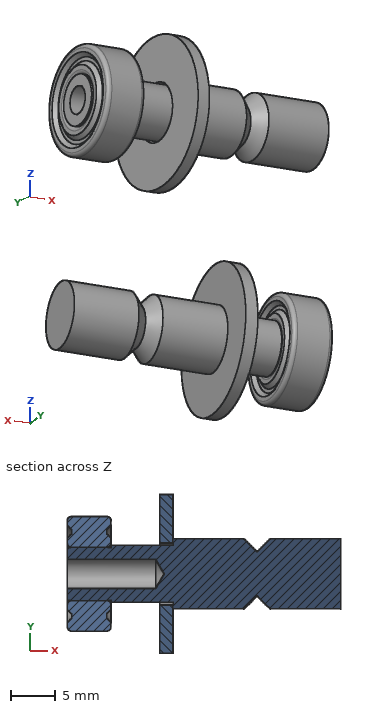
import cadquery as cq


BEARING_WIDTH = 5.0
BEARING_RADIUS = 6.5
BORE_RADIUS = 3.0
EDGE_FILLET = 0.5
GROOVE_DEPTH = 0.5
GROOVE_FLOOR_INNER = 4.55
GROOVE_FLOOR_OUTER = 5.02
GROOVE_FLARE = 0.5

WASHER_RADIUS = 9.005
WASHER_HOLE_RADIUS = 3.5
WASHER_THICKNESS = 1.52

SHAFT_LENGTH = 31.0
NECK_RADIUS = 3.25
BODY_RADIUS = 4.0
SHOULDER_X = 12.0
NOTCH_CENTER_X = 21.5
NOTCH_DEPTH = 1.5

DRILL_RADIUS = 1.65
DRILL_DEPTH = 10.0
DRILL_TIP_LENGTH = 0.95


def turned(profile):
    """Revolve a closed list of (x, radius) points about the X axis."""
    return cq.Workplane("XY").polyline(profile).close().revolve(360, (0, 0, 0), (1, 0, 0))


def ring(start_x, width, outer_radius, inner_radius):
    return (
        cq.Workplane("YZ", origin=(start_x, 0, 0))
        .circle(outer_radius)
        .circle(inner_radius)
        .extrude(width)
    )


def face_groove(face_x, floor_x):
    """Ring-shaped cutter that narrows from the bearing face to the groove floor."""
    return turned([
        (face_x, GROOVE_FLOOR_INNER - GROOVE_FLARE),
        (floor_x, GROOVE_FLOOR_INNER),
        (floor_x, GROOVE_FLOOR_OUTER),
        (face_x, GROOVE_FLOOR_OUTER + GROOVE_FLARE),
    ])


def make_bearing():
    blank = ring(0, BEARING_WIDTH, BEARING_RADIUS, BORE_RADIUS)
    rounded = blank.edges("%CIRCLE").fillet(EDGE_FILLET)
    near_groove = face_groove(0, GROOVE_DEPTH)
    far_groove = face_groove(BEARING_WIDTH, BEARING_WIDTH - GROOVE_DEPTH)
    return rounded.cut(near_groove).cut(far_groove)


def make_washer():
    start_x = SHOULDER_X - WASHER_THICKNESS
    return ring(start_x, WASHER_THICKNESS, WASHER_RADIUS, WASHER_HOLE_RADIUS)


def make_shaft():
    blank = turned([
        (0, 0),
        (0, BORE_RADIUS),
        (BEARING_WIDTH, BORE_RADIUS),
        (BEARING_WIDTH, NECK_RADIUS),
        (SHOULDER_X, NECK_RADIUS),
        (SHOULDER_X, BODY_RADIUS),
        (NOTCH_CENTER_X - NOTCH_DEPTH, BODY_RADIUS),
        (NOTCH_CENTER_X, BODY_RADIUS - NOTCH_DEPTH),
        (NOTCH_CENTER_X + NOTCH_DEPTH, BODY_RADIUS),
        (SHAFT_LENGTH, BODY_RADIUS),
        (SHAFT_LENGTH, 0),
    ])
    drill = turned([
        (0, 0),
        (0, DRILL_RADIUS),
        (DRILL_DEPTH, DRILL_RADIUS),
        (DRILL_DEPTH + DRILL_TIP_LENGTH, 0),
    ])
    return blank.cut(drill)


bearing = make_bearing()
washer = make_washer()
shaft = make_shaft()

result = cq.Compound.makeCompound([bearing.val(), washer.val(), shaft.val()])